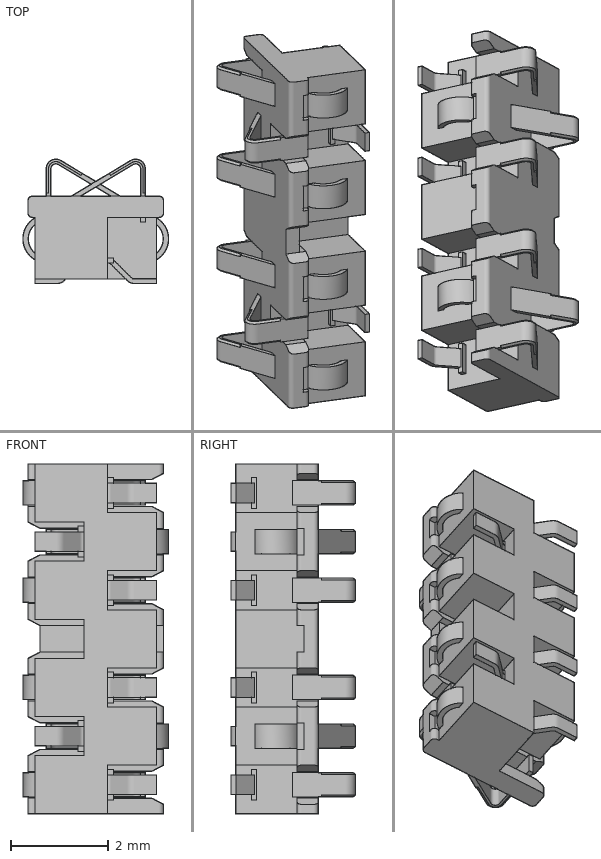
import cadquery as cq
import math


HEIGHT = 7.2
ROW_PITCH = 1.0
FLANGE_HALF_WIDTH = 1.4
FLANGE_BACK = 0.52
FLANGE_FRONT = 0.08
FLANGE_ROUND = 0.09
BODY_HALF_WIDTH = 1.25
BODY_FRONT = -1.19

POCKET_WALL = 0.245
POCKET_HALF_HEIGHT = 0.4
SLOT_HALF_HEIGHT = 0.27
SLOT_MOUTH_X = 1.15
RECESS_DEPTH = 0.145

SPRING_WIDTH = 0.505
SPRING_THICKNESS = 0.1
SPRING_LEG_X = 0.97
SPRING_TOP = 1.28
SPRING_BEND = 0.15
SPRING_SLOPE = 31.0
SPRING_EMBED_X = -0.54
LEG_OVERHANG = 0.09
COINED_START = 0.58
COINED_ARM = 0.51
COIN_WIDTH = 0.0395
COIN_DEPTH = 0.05

BOW_RADIUS = 0.5005
BOW_THICKNESS = 0.115
BOW_REACH = 1.501
BOW_Y = -0.36

FOOT_WIDTH = 0.4
FOOT_THICKNESS = 0.1
FOOT_FRONT = -1.28
FOOT_BEND = 0.145
STUB_WIDTH = 0.63
STUB_END = 0.37
STUB_Y = -0.81
FOOT_ANGLE = 45.0
EMBED = 0.07

CONTACT_ROWS = [(3, 1), (2, -1), (1, 1), (-1, 1), (-2, -1), (-3, 1)]
EMPTY_ROW = (0, -1)


def block(x0, x1, y0, y1, z0, z1):
    return cq.Workplane("XY").box(x1 - x0, y1 - y0, z1 - z0, centered=False).translate((x0, y0, z0))


def place(shape, row, side):
    """Move a shape made for the +X side at mid height to its row, turning it over for the -X side."""
    if side < 0:
        shape = shape.mirror("YZ")
    return shape.translate((0, 0, row * ROW_PITCH))



def pocket():
    return block(POCKET_WALL, FLANGE_HALF_WIDTH, BODY_FRONT, FLANGE_FRONT,
                 -POCKET_HALF_HEIGHT, POCKET_HALF_HEIGHT)


def slot_mouth():
    """Flared opening in the side of the flange."""
    return (
        cq.Workplane("XZ", origin=(0, FLANGE_BACK, 0))
        .polyline([
            (SLOT_MOUTH_X, -SLOT_HALF_HEIGHT),
            (FLANGE_HALF_WIDTH, -POCKET_HALF_HEIGHT),
            (FLANGE_HALF_WIDTH, POCKET_HALF_HEIGHT),
            (SLOT_MOUTH_X, SLOT_HALF_HEIGHT),
        ])
        .close()
        .extrude(FLANGE_BACK - FLANGE_FRONT)
    )


def flange_slot():
    """Straight slot through the flange, from the pocket wall to the flared mouth."""
    return block(POCKET_WALL, SLOT_MOUTH_X, FLANGE_FRONT, FLANGE_BACK,
                 -SLOT_HALF_HEIGHT, SLOT_HALF_HEIGHT)


def recess(inner_x):
    """Shallow recess in the front face of the flange."""
    return block(inner_x, FLANGE_HALF_WIDTH, FLANGE_FRONT, FLANGE_FRONT + RECESS_DEPTH,
                 -SLOT_HALF_HEIGHT, SLOT_HALF_HEIGHT)


def housing():
    half = HEIGHT / 2
    flange = block(-FLANGE_HALF_WIDTH, FLANGE_HALF_WIDTH, FLANGE_FRONT, FLANGE_BACK, -half, half)
    flange = flange.edges("|Z").fillet(FLANGE_ROUND)
    body = block(-BODY_HALF_WIDTH, BODY_HALF_WIDTH, BODY_FRONT, FLANGE_FRONT, -half, half)
    shape = body.union(flange)
    for row, side in CONTACT_ROWS:
        shape = shape.cut(place(pocket(), row, side))
        shape = shape.cut(place(flange_slot(), row, side))
        shape = shape.cut(place(slot_mouth(), row, side))
        shape = shape.cut(place(recess(BODY_HALF_WIDTH), row, -side))

    end_pocket = block(POCKET_WALL, FLANGE_HALF_WIDTH, BODY_FRONT, FLANGE_FRONT, 3 * ROW_PITCH, half)
    shape = shape.cut(end_pocket).cut(end_pocket.mirror("XY"))

    row, side = EMPTY_ROW
    shape = shape.cut(place(pocket(), row, side))
    shape = shape.cut(place(slot_mouth(), row, side))
    shape = shape.cut(place(recess(POCKET_WALL), row, side))
    return shape.cut(place(recess(BODY_HALF_WIDTH), row, -side))



def spring():
    """Straight leg, bend and sloping arm; the outer edges are chamfered around the bend."""
    slope = math.radians(SPRING_SLOPE)
    bend_x = SPRING_LEG_X - SPRING_BEND
    bend_y = SPRING_TOP - SPRING_THICKNESS / 2 - SPRING_BEND
    arm_start = (bend_x - SPRING_BEND * math.sin(slope), bend_y + SPRING_BEND * math.cos(slope))
    arm_x = -math.cos(slope)
    arm_y = -math.sin(slope)
    coined_end = (arm_start[0] + COINED_ARM * arm_x, arm_start[1] + COINED_ARM * arm_y)
    arm_length = (SPRING_EMBED_X - arm_start[0]) / arm_x
    arm_end = (SPRING_EMBED_X, arm_start[1] + arm_length * arm_y)

    half_t = SPRING_THICKNESS / 2
    half_w = SPRING_WIDTH / 2
    leg_end = FLANGE_FRONT - LEG_OVERHANG
    leg = block(SPRING_LEG_X - half_t, SPRING_LEG_X + half_t, leg_end, COINED_START, -half_w, half_w)

    coined_path = (
        cq.Workplane("XY")
        .moveTo(SPRING_LEG_X, COINED_START)
        .lineTo(SPRING_LEG_X, bend_y)
        .tangentArcPoint(arm_start, relative=False)
        .lineTo(*coined_end)
    )
    coined = (
        cq.Workplane("XZ", origin=(SPRING_LEG_X, COINED_START, 0))
        .polyline([
            (-half_t, -half_w),
            (half_t - COIN_DEPTH, -half_w),
            (half_t, COIN_WIDTH - half_w),
            (half_t, half_w - COIN_WIDTH),
            (half_t - COIN_DEPTH, half_w),
            (-half_t, half_w),
        ])
        .close()
        .sweep(coined_path)
    )

    across = (half_t * math.sin(slope), -half_t * math.cos(slope))
    arm = (
        cq.Workplane("XY", origin=(0, 0, -half_w))
        .polyline([
            (coined_end[0] + across[0], coined_end[1] + across[1]),
            (coined_end[0] - across[0], coined_end[1] - across[1]),
            (arm_end[0] - across[0], arm_end[1] - across[1]),
            (arm_end[0] + across[0], arm_end[1] + across[1]),
        ])
        .close()
        .extrude(SPRING_WIDTH)
    )
    return leg.union(coined).union(arm)


def bow():
    """Curved band bulging out of the -X side of the body."""
    ring = (
        cq.Workplane("XY", origin=(BOW_RADIUS - BOW_REACH, BOW_Y, -SPRING_WIDTH / 2))
        .circle(BOW_RADIUS)
        .circle(BOW_RADIUS - BOW_THICKNESS)
        .extrude(SPRING_WIDTH)
    )
    outside = block(-BOW_REACH, EMBED - BODY_HALF_WIDTH, BODY_FRONT, FLANGE_FRONT,
                    -SPRING_WIDTH, SPRING_WIDTH)
    return ring.intersect(outside)


def foot():
    """Solder foot: a wide stub leaves the pocket wall, then a narrower strip slopes to a flat pad."""
    slope = math.radians(FOOT_ANGLE)
    pad_y = FOOT_FRONT + FOOT_THICKNESS / 2
    first_bend_x = STUB_END - FOOT_BEND * math.tan(slope / 2)
    second_bend_x = first_bend_x + (STUB_Y - pad_y) / math.tan(slope)
    setback = FOOT_BEND * math.tan(slope / 2)
    step_x = setback * math.cos(slope)
    step_y = setback * math.sin(slope)
    wall_x = POCKET_WALL - EMBED
    path = (
        cq.Workplane("XY")
        .moveTo(wall_x, STUB_Y)
        .lineTo(first_bend_x - setback, STUB_Y)
        .tangentArcPoint((first_bend_x + step_x, STUB_Y - step_y), relative=False)
        .lineTo(second_bend_x - step_x, pad_y + step_y)
        .tangentArcPoint((second_bend_x + setback, pad_y), relative=False)
        .lineTo(BODY_HALF_WIDTH, pad_y)
    )
    section = cq.Workplane("YZ", origin=(wall_x, STUB_Y, 0))
    strip = section.rect(FOOT_THICKNESS, FOOT_WIDTH).sweep(path)
    wide_strip = section.rect(FOOT_THICKNESS, STUB_WIDTH).sweep(path)
    stub_zone = block(wall_x, STUB_END, FOOT_FRONT, FLANGE_FRONT, -STUB_WIDTH, STUB_WIDTH)
    return strip.union(wide_strip.intersect(stub_zone))


result = housing()
for part in (spring(), bow(), foot()):
    for row, side in CONTACT_ROWS:
        result = result.union(place(part, row, side))